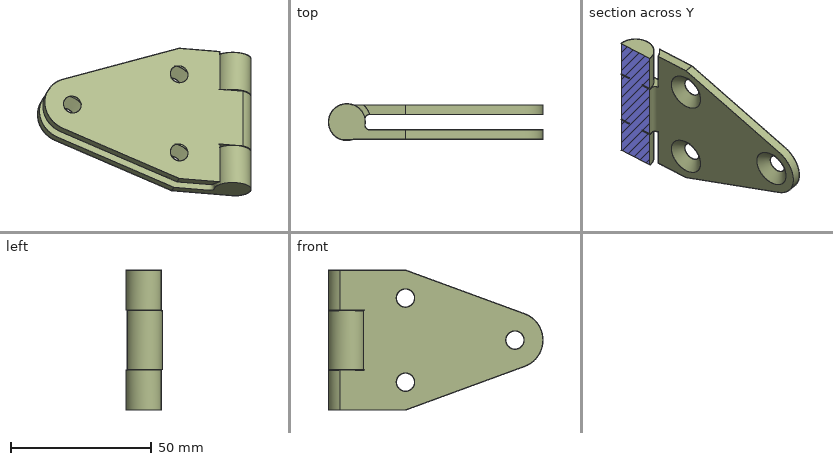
import cadquery as cq
import math

length = 76.6
height = 50.0
knuckle_radius = 6.6
pin_diameter = 6.0

leaf_outer_face = 6.1
leaf_thickness = 3.45
leaf_inner_face = leaf_outer_face - leaf_thickness
shoulder_x = 20.9
tip_radius = 10.0
tip_x = length - knuckle_radius - tip_radius
root_fillet = 1.5

hole_diameter = 6.4
hole_z = 15.0
countersink_angle = 90.0

knuckle_clearance_radius = 8.6
middle_knuckle_height = 21.0
knuckle_gap = 0.2
notch_height = middle_knuckle_height + 2 * knuckle_gap


def z_cylinder(radius, cylinder_height):
    """Cylinder on the pin axis, centred at mid-height."""
    return cq.Workplane("XY").circle(radius).extrude(cylinder_height / 2, both=True)


def leaf_section():
    """Full-height front leaf with its rolled knuckle and root fillet."""
    flat_start_x = -math.sqrt(knuckle_radius**2 - leaf_outer_face**2)
    fillet_y = root_fillet - leaf_inner_face
    center_distance = knuckle_radius + root_fillet
    fillet_x = math.sqrt(center_distance**2 - fillet_y**2)
    contact_ratio = knuckle_radius / center_distance
    knuckle_contact = (fillet_x * contact_ratio, fillet_y * contact_ratio)
    contact_angle = math.atan2(fillet_y, fillet_x)
    mid_angle = (math.pi + contact_angle + 1.5 * math.pi) / 2
    fillet_middle = (
        fillet_x + root_fillet * math.cos(mid_angle),
        fillet_y + root_fillet * math.sin(mid_angle),
    )
    leaf_end_x = length - knuckle_radius
    return (
        cq.Workplane("XY")
        .moveTo(flat_start_x, -leaf_outer_face)
        .lineTo(leaf_end_x, -leaf_outer_face)
        .lineTo(leaf_end_x, -leaf_inner_face)
        .lineTo(fillet_x, -leaf_inner_face)
        .threePointArc(fillet_middle, knuckle_contact)
        .threePointArc((0, knuckle_radius), (-knuckle_radius, 0))
        .threePointArc(
            (-knuckle_radius * math.cos(math.pi / 6), -knuckle_radius * math.sin(math.pi / 6)),
            (flat_start_x, -leaf_outer_face),
        )
        .close()
        .extrude(height / 2, both=True)
    )


def leaf_outline():
    """Tapered outline with a round tip, deep enough to span both leaves."""
    run = tip_x - shoulder_x
    rise = height / 2
    tangent_angle = math.atan2(rise, -run) - math.acos(tip_radius / math.hypot(run, rise))
    tangent_x = tip_x + tip_radius * math.cos(tangent_angle)
    tangent_z = tip_radius * math.sin(tangent_angle)
    return (
        cq.Workplane("XZ")
        .moveTo(-knuckle_radius, -rise)
        .lineTo(shoulder_x, -rise)
        .lineTo(tangent_x, -tangent_z)
        .threePointArc((tip_x + tip_radius, 0), (tangent_x, tangent_z))
        .lineTo(shoulder_x, rise)
        .lineTo(-knuckle_radius, rise)
        .close()
        .extrude(knuckle_radius, both=True)
    )


def mounting_holes():
    """Conical holes, narrow at the front leaf's outer face and wide at its inner face."""
    centers = [(shoulder_x, hole_z), (shoulder_x, -hole_z), (tip_x, 0)]
    outer_radius = hole_diameter / 2
    inner_radius = outer_radius + leaf_thickness * math.tan(math.radians(countersink_angle / 2))
    holes = cq.Workplane("XY")
    for x, z in centers:
        cone = cq.Solid.makeCone(
            outer_radius,
            inner_radius,
            leaf_thickness,
            pnt=cq.Vector(x, -leaf_outer_face, z),
            dir=cq.Vector(0, 1, 0),
        )
        holes = holes.add(cone)
    return holes.combine()


blank_leaf = leaf_section().intersect(leaf_outline()).cut(mounting_holes())

middle_notch = z_cylinder(knuckle_clearance_radius, notch_height)
front_leaf = blank_leaf.cut(middle_notch)

end_relief = z_cylinder(knuckle_clearance_radius, height).cut(
    z_cylinder(knuckle_clearance_radius, middle_knuckle_height)
)
back_leaf = blank_leaf.mirror("XZ").cut(end_relief)

pin = z_cylinder(pin_diameter / 2, height)

result = front_leaf.union(back_leaf).union(pin, clean=False)